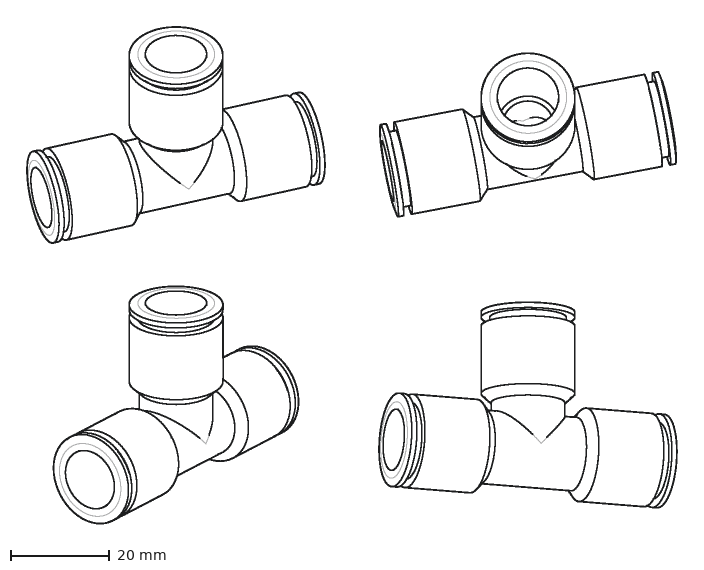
import cadquery as cq

reach = 29.0
body_radius = 9.5
groove_radius = 7.8
neck_radius = 7.5
tube_radius = 6.2
bore_radius = 5.15

collar_thickness = 1.45
rim_rise = 0.35
groove_width = 1.75
body_length = 14.05
shoulder_length = 1.9
socket_depth = body_length + groove_width + collar_thickness

collar_back = reach - collar_thickness
body_front = collar_back - groove_width
body_back = body_front - body_length
shoulder_back = body_back - shoulder_length


def port_solid():
    """Outer shape of one port, revolved about Z and starting at the crossing."""
    profile = [
        (0, 0),
        (neck_radius, 0),
        (neck_radius, shoulder_back),
        (body_radius, body_back),
        (body_radius, body_front),
        (groove_radius, body_front),
        (groove_radius, collar_back),
        (body_radius, collar_back),
        (body_radius, reach - rim_rise),
        (groove_radius, reach),
        (0, reach),
    ]
    return cq.Workplane("XZ").polyline(profile).close().revolve(360, (0, 0), (0, 1))


def port_cavity():
    """Flow passage from the crossing, opening into the tube socket."""
    passage = cq.Workplane("XY").circle(bore_radius).extrude(reach)
    socket = cq.Workplane("XY").workplane(offset=reach - socket_depth).circle(tube_radius).extrude(socket_depth)
    return passage.union(socket)


def on_all_ports(shape):
    """Join copies of a +Z shape pointing along +Z, +Y and -Y."""
    joined = shape
    for angle in (-90, 90):
        joined = joined.union(shape.rotate((0, 0, 0), (1, 0, 0), angle))
    return joined


result = on_all_ports(port_solid()).cut(on_all_ports(port_cavity()))